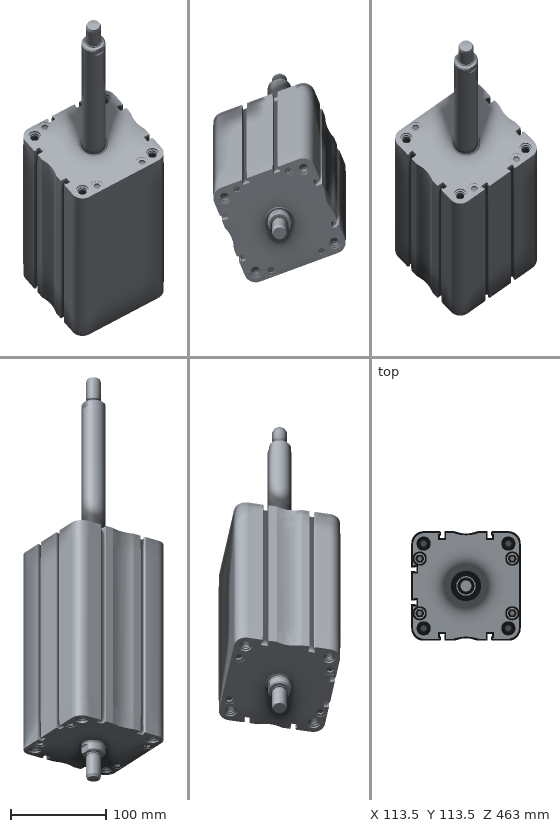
import cadquery as cq
import math

HOUSING_WIDTH = 113.5
CORNER_RADIUS = 12.75
CAP_LENGTH = 19.5
BARREL_LENGTH = 188.0
CAP_DRAFT_ANGLE = 0.85
HALF_WIDTH = HOUSING_WIDTH / 2
HOUSING_LENGTH = BARREL_LENGTH + 2 * CAP_LENGTH

TROUGH_DIAMETER = 72.0
TROUGH_WIDTH = 26.0

L_SLOT_INNER_WALL = 22.0
L_SLOT_OPENING = 4.8
L_SLOT_UNDERCUT = 1.5
L_SLOT_LIP = 3.0
L_SLOT_LIP_CHAMFER = 1.2
L_SLOT_DEPTH = 7.2

T_SLOT_SPACING = 34.7
T_SLOT_OPENING = 5.2
T_SLOT_UNDERCUT = 0.8
T_SLOT_LIP = 2.8
T_SLOT_DEPTH = 5.5

MOUNTING_PITCH = 89.0
MOUNTING_THREAD_DIAMETER = 8.38
MOUNTING_NECK_DIAMETER = 10.11
MOUNTING_RECESS_DIAMETER = 13.1
MOUNTING_RECESS_DEPTH = 2.0
MOUNTING_NECK_DEPTH = 4.0
MOUNTING_HOLE_DEPTH = 16.0

SOCKET_X = 48.6
SOCKET_Y = 28.7
SOCKET_DIAMETER = 13.1
SOCKET_DEPTH = 0.5
SOCKET_HEX_WIDTH = 6.5
SOCKET_HEX_DEPTH = 3.0

ROD_DIAMETER = 25.0
ROD_TOP_OVERHANG = 197.0
ROD_BOTTOM_OVERHANG = 39.0
SHOULDER_CHAMFER = 1.4
STUD_DIAMETER = 16.0
STUD_LENGTH = 27.9
STUD_TIP_DIAMETER = 13.5
STUD_TIP_LENGTH = 3.2
STUD_COLLAR_LENGTH = 1.0
STUD_GROOVE_DIAMETER = 14.0
STUD_GROOVE_LENGTH = 2.4
FLATS_ACROSS = 22.0
FLATS_LENGTH = 8.6
FLATS_RUNOUT = 1.3

SEAL_DIAMETER = 30.0
SEAL_RIM_DIAMETER = 28.0
SEAL_LIP_DIAMETER = 26.9
SEAL_LENGTH = 6.0
SEAL_BEVEL_LENGTH = 1.0
SEAL_GROOVE_DEPTH = 1.0


def slot_blank(opening_from, opening_to, pocket_from, pocket_to, lip, depth):
    """Undercut groove running along Z, cut into a face lying at Y = HALF_WIDTH."""
    neck = cq.Workplane("XY").box(opening_to - opening_from, depth, HOUSING_LENGTH, centered=False)
    neck = neck.translate((opening_from, HALF_WIDTH - depth, 0))
    pocket = cq.Workplane("XY").box(pocket_to - pocket_from, depth - lip, HOUSING_LENGTH, centered=False)
    pocket = pocket.translate((pocket_from, HALF_WIDTH - depth, 0))
    return neck.union(pocket)


def profile():
    """Full-length housing profile with its troughs and grooves."""
    body = cq.Workplane("XY").rect(HOUSING_WIDTH, HOUSING_WIDTH).extrude(HOUSING_LENGTH)
    body = body.edges("|Z").fillet(CORNER_RADIUS)

    trough_radius = TROUGH_DIAMETER / 2
    axis_offset = HALF_WIDTH + math.sqrt(trough_radius**2 - (TROUGH_WIDTH / 2) ** 2)
    for side in (-1, 1):
        trough = cq.Workplane("XY").center(0, side * axis_offset).circle(trough_radius)
        trough = trough.extrude(HOUSING_LENGTH)
        body = body.cut(trough)

    inner_wall = L_SLOT_INNER_WALL
    outer_wall = inner_wall + L_SLOT_OPENING
    pocket_wall = outer_wall + L_SLOT_UNDERCUT
    l_slot = slot_blank(inner_wall, outer_wall, inner_wall, pocket_wall, L_SLOT_LIP, L_SLOT_DEPTH)
    lip_chamfer = (
        cq.Workplane("XY")
        .moveTo(outer_wall, HALF_WIDTH)
        .lineTo(outer_wall, HALF_WIDTH - L_SLOT_LIP_CHAMFER)
        .lineTo(outer_wall + L_SLOT_LIP_CHAMFER, HALF_WIDTH)
        .close()
        .extrude(HOUSING_LENGTH)
    )
    l_slot = l_slot.union(lip_chamfer)
    l_slots = l_slot.union(l_slot.mirror("YZ"))
    l_slots = l_slots.union(l_slots.mirror("XZ"))

    half_opening = T_SLOT_OPENING / 2
    half_pocket = half_opening + T_SLOT_UNDERCUT
    t_slot = slot_blank(-half_opening, half_opening, -half_pocket, half_pocket, T_SLOT_LIP, T_SLOT_DEPTH)
    body = body.cut(l_slots)
    for side in (-1, 1):
        placed = t_slot.translate((side * T_SLOT_SPACING / 2, 0, 0)).rotate((0, 0, 0), (0, 0, 1), 90)
        body = body.cut(placed)
    return body


def cylinder_down(x, y, diameter, depth):
    """Cylinder sunk from the top face of the housing."""
    return cq.Workplane("XY", origin=(x, y, HOUSING_LENGTH - depth)).circle(diameter / 2).extrude(depth)


def make_barrel():
    """Middle length of the housing profile, bored for the rod."""
    middle = cq.Workplane("XY").rect(HOUSING_WIDTH, HOUSING_WIDTH).extrude(BARREL_LENGTH)
    bore = cq.Workplane("XY").circle(ROD_DIAMETER / 2).extrude(HOUSING_LENGTH)
    return profile().intersect(middle.translate((0, 0, CAP_LENGTH))).cut(bore)


def mounting_hole(x, y):
    """Threaded corner hole stepping down through a neck from a shallow recess."""
    hole = cylinder_down(x, y, MOUNTING_THREAD_DIAMETER, MOUNTING_HOLE_DEPTH)
    hole = hole.union(cylinder_down(x, y, MOUNTING_NECK_DIAMETER, MOUNTING_NECK_DEPTH))
    return hole.union(cylinder_down(x, y, MOUNTING_RECESS_DIAMETER, MOUNTING_RECESS_DEPTH))


def socket_recess(x, y):
    """Shallow round recess with a hexagon socket, two of its flats facing +X and -X."""
    hexagon = (
        cq.Workplane("XY", origin=(x, y, HOUSING_LENGTH - SOCKET_HEX_DEPTH))
        .polygon(6, SOCKET_HEX_WIDTH, circumscribed=True)
        .extrude(SOCKET_HEX_DEPTH)
        .rotate((x, y, 0), (x, y, 1), 30)
    )
    return hexagon.union(cylinder_down(x, y, SOCKET_DIAMETER, SOCKET_DEPTH))


def make_top_cap():
    """End cap with the barrel's outline, drafted inwards towards its outer face."""
    outline = profile().faces("<Z").wires().val()
    cap = cq.Workplane("XY").add(outline).toPending().extrude(CAP_LENGTH, taper=CAP_DRAFT_ANGLE)
    cap = cap.translate((0, 0, HOUSING_LENGTH - CAP_LENGTH))
    cap = cap.cut(cylinder_down(0, 0, ROD_DIAMETER, CAP_LENGTH))
    cap = cap.cut(cylinder_down(0, 0, SEAL_DIAMETER, SEAL_LENGTH))
    for side_x in (-1, 1):
        for side_y in (-1, 1):
            cap = cap.cut(mounting_hole(side_x * MOUNTING_PITCH / 2, side_y * MOUNTING_PITCH / 2))
            cap = cap.cut(socket_recess(side_x * SOCKET_X, side_y * SOCKET_Y))
    return cap


def make_top_seal():
    """Ring flush with the cap face, with a bevelled rim and a shallow groove around the rod."""
    inner = ROD_DIAMETER / 2
    outer = SEAL_DIAMETER / 2
    bottom = HOUSING_LENGTH - SEAL_LENGTH
    return (
        cq.Workplane("XZ")
        .moveTo(inner, bottom)
        .lineTo(outer, bottom)
        .lineTo(outer, HOUSING_LENGTH - SEAL_BEVEL_LENGTH)
        .lineTo(SEAL_RIM_DIAMETER / 2, HOUSING_LENGTH)
        .lineTo(SEAL_LIP_DIAMETER / 2, HOUSING_LENGTH)
        .lineTo(inner, HOUSING_LENGTH - SEAL_GROOVE_DEPTH)
        .close()
        .revolve(360, (0, 0, 0), (0, 1, 0))
    )


def flip(shape):
    """Mirror a top-end shape onto the bottom end of the housing."""
    return shape.mirror("XY", (0, 0, HOUSING_LENGTH / 2))


def rod_end(tip_z):
    """Half of the rod with flats and stud, from the middle of the housing to the stud tip."""
    rod_radius = ROD_DIAMETER / 2
    stud_radius = STUD_DIAMETER / 2
    groove_radius = STUD_GROOVE_DIAMETER / 2
    groove_taper = stud_radius - groove_radius
    shoulder_z = tip_z - STUD_LENGTH
    groove_start_z = shoulder_z + STUD_COLLAR_LENGTH
    groove_end_z = groove_start_z + STUD_GROOVE_LENGTH
    end = (
        cq.Workplane("XZ")
        .moveTo(0, HOUSING_LENGTH / 2)
        .lineTo(rod_radius, HOUSING_LENGTH / 2)
        .lineTo(rod_radius, shoulder_z - SHOULDER_CHAMFER)
        .lineTo(rod_radius - SHOULDER_CHAMFER, shoulder_z)
        .lineTo(stud_radius, shoulder_z)
        .lineTo(stud_radius, groove_start_z)
        .lineTo(groove_radius, groove_start_z)
        .lineTo(groove_radius, groove_end_z - groove_taper)
        .lineTo(stud_radius, groove_end_z)
        .lineTo(stud_radius, tip_z - STUD_TIP_LENGTH)
        .lineTo(STUD_TIP_DIAMETER / 2, tip_z)
        .lineTo(0, tip_z)
        .close()
        .revolve(360, (0, 0, 0), (0, 1, 0))
    )
    flat = (
        cq.Workplane("XZ")
        .moveTo(FLATS_ACROSS / 2, shoulder_z)
        .lineTo(FLATS_ACROSS / 2, shoulder_z - FLATS_LENGTH + FLATS_RUNOUT)
        .lineTo(rod_radius, shoulder_z - FLATS_LENGTH)
        .lineTo(rod_radius, shoulder_z)
        .close()
        .extrude(rod_radius, both=True)
    )
    return end.cut(flat).cut(flat.mirror("YZ"))


def make_rod():
    """Through rod: long above the housing, short below it."""
    upper = rod_end(HOUSING_LENGTH + ROD_TOP_OVERHANG)
    lower = flip(rod_end(HOUSING_LENGTH + ROD_BOTTOM_OVERHANG))
    return upper.union(lower)


barrel = make_barrel()
top_cap = make_top_cap()
bottom_cap = flip(top_cap)
top_seal = make_top_seal()
bottom_seal = flip(top_seal)
rod = make_rod()

result = cq.Compound.makeCompound(
    [barrel.val(), top_cap.val(), bottom_cap.val(), top_seal.val(), bottom_seal.val(), rod.val()]
)